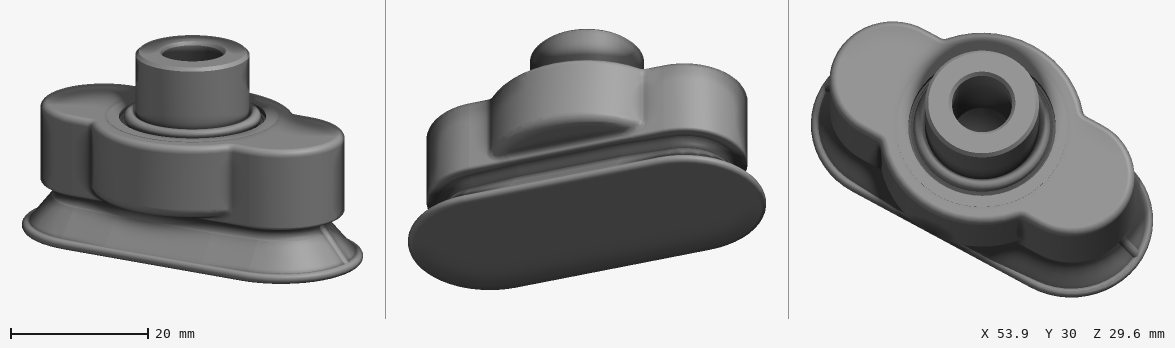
import cadquery as cq
import math

TOTAL_HEIGHT = 29.6
HOUSING_BOTTOM = 7.45
HOUSING_TOP = 19.6
RING_TOP = 19.7

END_CENTER_X = 15.0
HOUSING_END_RADIUS = 9.25
BOSS_DIAMETER = 29.95
BOSS_BOTTOM = 8.5
BOSS_BOTTOM_FILLET = 1.5
HOUSING_TOP_FILLET = 1.0
HOUSING_BOTTOM_FILLET = 0.5
BOSS_CORNER_FILLET = 1.0

SELECTION_MARGIN = 0.25

RING_DIAMETER = 25.0
RING_HOLE_DIAMETER = 21.5
RING_THICKNESS = 0.8

FITTING_DIAMETER = 16.65
FITTING_CHAMFER = 0.5
FITTING_HOLE_DIAMETER = 8.8
FITTING_HOLE_DEPTH = 16.15
FITTING_HOLE_DOME_DIAMETER = 10.3
FITTING_HOLE_CHAMFER = 0.5
FLANGE_DIAMETER = 24.5
FLANGE_THICKNESS = 6.45
GROOVE_DIAMETER = 20.8

ORING_SECTION_DIAMETER = 1.85
ORING_OUTER_DIAMETER = 20.0
ORING_TOP = 20.5

LIP_END_RADIUS = 11.95
LIP_THICKNESS = 1.4
SKIRT_BOTTOM_RADIUS = 10.9
SKIRT_TOP_Z = 5.3
SKIRT_ANGLE = 40.0
SIDE_ANGLE = 4.0
SIDE_BREAK_X = 8.2
NECK_DEPTH = 0.7
RIB_DIAMETER = 1.85
RIB_AXIS_DEPTH = 0.6
RIB_ROOT_LENGTH = 0.85
RIB_TOP_Z = 6.8

flange_top = RING_TOP - RING_THICKNESS
oring_center_z = ORING_TOP - ORING_SECTION_DIAMETER / 2
flange_bottom = flange_top - FLANGE_THICKNESS


def cylinder(diameter, bottom, top):
    return cq.Workplane("XY").workplane(offset=bottom).circle(diameter / 2).extrude(top - bottom)


def slot_block(end_radius, bottom, top):
    length = 2 * (END_CENTER_X + end_radius)
    return (
        cq.Workplane("XY")
        .workplane(offset=bottom)
        .slot2D(length, 2 * end_radius)
        .extrude(top - bottom)
    )


def make_housing():
    block = slot_block(HOUSING_END_RADIUS, HOUSING_BOTTOM, HOUSING_TOP)
    boss = cylinder(BOSS_DIAMETER, BOSS_BOTTOM, HOUSING_TOP)
    boss = boss.faces("<Z").edges().fillet(BOSS_BOTTOM_FILLET)
    housing = block.union(boss)
    boss_radius = BOSS_DIAMETER / 2
    corner_x = math.sqrt(boss_radius**2 - HOUSING_END_RADIUS**2)
    box_x = corner_x + SELECTION_MARGIN
    box_y = HOUSING_END_RADIUS + SELECTION_MARGIN
    corner_box = cq.selectors.BoxSelector(
        (-box_x, -box_y, BOSS_BOTTOM - SELECTION_MARGIN),
        (box_x, box_y, HOUSING_TOP - SELECTION_MARGIN),
    )
    housing = housing.edges(corner_box).fillet(BOSS_CORNER_FILLET)
    housing = housing.faces("<Z").edges().fillet(HOUSING_BOTTOM_FILLET)
    housing = housing.faces(">Z").edges().fillet(HOUSING_TOP_FILLET)
    housing = housing.cut(cylinder(RING_DIAMETER, flange_top, RING_TOP))
    return housing.cut(cylinder(FLANGE_DIAMETER, flange_bottom, flange_top))


def make_ring():
    ring = cylinder(RING_DIAMETER, flange_top, RING_TOP)
    return ring.cut(cylinder(RING_HOLE_DIAMETER, flange_top, RING_TOP))


def make_oring():
    center_radius = (ORING_OUTER_DIAMETER - ORING_SECTION_DIAMETER) / 2
    torus = cq.Solid.makeTorus(center_radius, ORING_SECTION_DIAMETER / 2)
    return cq.Workplane(torus).translate((0, 0, oring_center_z))


def make_fitting():
    body = cylinder(FITTING_DIAMETER, flange_bottom, TOTAL_HEIGHT)
    body = body.faces(">Z").edges().chamfer(FITTING_CHAMFER)
    flange = cylinder(FLANGE_DIAMETER, flange_bottom, flange_top)
    groove_bottom = ORING_TOP - ORING_SECTION_DIAMETER
    flange = flange.cut(cylinder(GROOVE_DIAMETER, groove_bottom, RING_TOP))
    fitting = body.union(flange).cut(make_oring())
    hole_radius = FITTING_HOLE_DIAMETER / 2
    dome_radius = FITTING_HOLE_DOME_DIAMETER / 2
    dome_center_z = TOTAL_HEIGHT - FITTING_HOLE_DEPTH + dome_radius
    dome_rim_z = dome_center_z - math.sqrt(dome_radius**2 - hole_radius**2)
    hole = (
        cq.Workplane("XZ")
        .moveTo(0, TOTAL_HEIGHT)
        .lineTo(hole_radius, TOTAL_HEIGHT)
        .lineTo(hole_radius, dome_rim_z)
        .radiusArc((0, TOTAL_HEIGHT - FITTING_HOLE_DEPTH), dome_radius)
        .close()
        .revolve()
    )
    fitting = fitting.cut(hole)
    rim = fitting.faces(">Z").edges("%CIRCLE").edges(cq.selectors.RadiusNthSelector(0))
    return rim.chamfer(FITTING_HOLE_CHAMFER)


def skirt_path():
    side = math.radians(SIDE_ANGLE)
    tangent_x = END_CENTER_X + SKIRT_BOTTOM_RADIUS * math.sin(side)
    tangent_y = SKIRT_BOTTOM_RADIUS * math.cos(side)
    break_y = tangent_y + (tangent_x - SIDE_BREAK_X) * math.tan(side)
    end_x = END_CENTER_X + SKIRT_BOTTOM_RADIUS
    path = (
        cq.Workplane("XY")
        .workplane(offset=LIP_THICKNESS)
        .moveTo(0, -break_y)
        .lineTo(SIDE_BREAK_X, -break_y)
        .lineTo(tangent_x, -tangent_y)
        .threePointArc((end_x, 0), (tangent_x, tangent_y))
        .lineTo(SIDE_BREAK_X, break_y)
        .lineTo(-SIDE_BREAK_X, break_y)
        .lineTo(-tangent_x, tangent_y)
        .threePointArc((-end_x, 0), (-tangent_x, -tangent_y))
        .lineTo(-SIDE_BREAK_X, -break_y)
        .close()
    )
    return path, break_y


def make_skirt():
    path, start_y = skirt_path()
    slope = math.radians(SKIRT_ANGLE)
    skirt_top_y = start_y - (SKIRT_TOP_Z - LIP_THICKNESS) * math.tan(slope)
    neck_y = skirt_top_y - NECK_DEPTH
    neck_z = (SKIRT_TOP_Z + HOUSING_BOTTOM) / 2
    inner_y = neck_y / 2
    profile = (
        cq.Workplane("YZ")
        .moveTo(-start_y, LIP_THICKNESS)
        .lineTo(-skirt_top_y, SKIRT_TOP_Z)
        .threePointArc((-neck_y, neck_z), (-skirt_top_y, HOUSING_BOTTOM))
        .lineTo(-inner_y, HOUSING_BOTTOM)
        .lineTo(-inner_y, LIP_THICKNESS)
        .close()
    )
    wall = profile.sweep(path, transition="right")
    core = slot_block((inner_y + neck_y) / 2, LIP_THICKNESS, HOUSING_BOTTOM)
    return wall.union(core)


def make_rib(side):
    slope = math.radians(SKIRT_ANGLE)
    bottom_x = END_CENTER_X + SKIRT_BOTTOM_RADIUS - RIB_AXIS_DEPTH / math.cos(slope)
    direction = cq.Vector(-side * math.sin(slope), 0, math.cos(slope))
    start = cq.Vector(side * bottom_x, 0, LIP_THICKNESS) - direction * RIB_ROOT_LENGTH
    length = (RIB_TOP_Z - LIP_THICKNESS) / math.cos(slope) + RIB_ROOT_LENGTH
    return cq.Workplane(cq.Solid.makeCylinder(RIB_DIAMETER / 2, length, start, direction))


def make_cup():
    rim_radius = LIP_THICKNESS / 2
    inner_radius = LIP_END_RADIUS - rim_radius
    lip = slot_block(inner_radius, 0, LIP_THICKNESS)
    rim_path = cq.Workplane("XY").workplane(offset=rim_radius)
    rim_path = rim_path.slot2D(2 * (END_CENTER_X + inner_radius), 2 * inner_radius)
    rim = cq.Workplane("YZ").center(inner_radius, rim_radius).circle(rim_radius).sweep(rim_path)
    lip = lip.union(rim)
    cup = lip.union(make_skirt())
    for side in (-1, 1):
        cup = cup.union(make_rib(side))
    return cup


housing = make_housing()
ring = make_ring()
oring = make_oring()
fitting = make_fitting()
cup = make_cup()
bodies = [housing, ring, oring, fitting, cup]
result = cq.Compound.makeCompound([body.solids().val() for body in bodies])